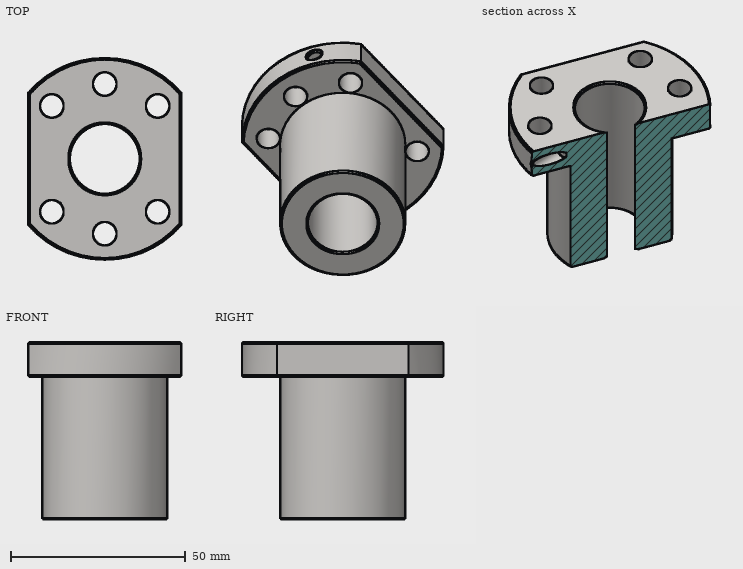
import cadquery as cq
import math

flange_diameter = 58.0
flange_width = 44.0
flange_thickness = 10.0

body_diameter = 36.0
overall_length = 51.0
bore_diameter = 20.0
edge_chamfer = 0.5

mounting_hole_diameter = 6.7
bolt_circle_diameter = 43.0
mounting_hole_spacing = 45.0

oil_hole_diameter = 4.0
oil_hole_mouth_diameter = 5.0
oil_hole_depth = 10.0
oil_hole_angle = 90.0 + mounting_hole_spacing / 2


def make_flange():
    disc = cq.Workplane("XY").circle(flange_diameter / 2).extrude(-flange_thickness)
    slab = cq.Workplane("XY").rect(flange_width, flange_diameter).extrude(-flange_thickness)
    return disc.intersect(slab).faces("<Z or >Z").edges().chamfer(edge_chamfer)


def make_body():
    body = cq.Workplane("XY").circle(body_diameter / 2).extrude(-overall_length)
    return body.faces("<Z").edges().chamfer(edge_chamfer)


def make_bore():
    """Cutter for the through bore, widened by a chamfer at both ends."""
    bore_radius = bore_diameter / 2
    mouth_radius = bore_radius + edge_chamfer
    return (
        cq.Workplane("XZ")
        .moveTo(0, 0)
        .lineTo(mouth_radius, 0)
        .lineTo(bore_radius, -edge_chamfer)
        .lineTo(bore_radius, edge_chamfer - overall_length)
        .lineTo(mouth_radius, -overall_length)
        .lineTo(0, -overall_length)
        .close()
        .revolve(360, (0, 0, 0), (0, 1, 0))
    )


def make_mounting_holes():
    """Cutter for the six mounting holes through the flange."""
    centres = []
    for side_angle in (90.0, 270.0):
        for step in (-1, 0, 1):
            angle = math.radians(side_angle + step * mounting_hole_spacing)
            radius = bolt_circle_diameter / 2
            centres.append((radius * math.cos(angle), radius * math.sin(angle)))
    return (
        cq.Workplane("XY")
        .pushPoints(centres)
        .circle(mounting_hole_diameter / 2)
        .extrude(-flange_thickness)
    )


def make_oil_hole():
    """Cutter for the blind hole sunk into the flange rim, with a conical mouth."""
    hole_radius = oil_hole_diameter / 2
    mouth_radius = oil_hole_mouth_diameter / 2
    rim_radius = flange_diameter / 2
    mouth_distance = math.sqrt(rim_radius**2 - mouth_radius**2)
    cone_start = mouth_distance - (mouth_radius - hole_radius)
    bottom_distance = rim_radius - oil_hole_depth
    cutter = (
        cq.Workplane("XY")
        .moveTo(bottom_distance, 0)
        .lineTo(bottom_distance, hole_radius)
        .lineTo(cone_start, hole_radius)
        .lineTo(mouth_distance, mouth_radius)
        .lineTo(rim_radius, mouth_radius)
        .lineTo(rim_radius, 0)
        .close()
        .revolve(360, (0, 0, 0), (1, 0, 0))
    )
    return cutter.rotate((0, 0, 0), (0, 0, 1), oil_hole_angle).translate((0, 0, -flange_thickness / 2))


result = (
    make_flange()
    .union(make_body())
    .cut(make_bore())
    .cut(make_mounting_holes())
    .cut(make_oil_hole())
)